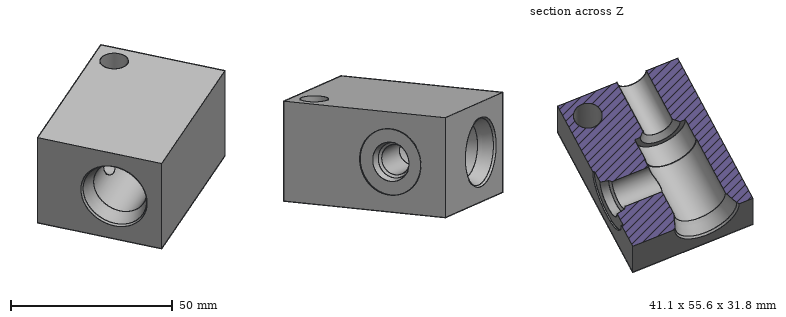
import cadquery as cq

width = 41.15
length = 55.6
height = 31.75
mid_height = height / 2

mount_diameter = 8.8
mount_inset = 7.1

cavity_x = 25.35
mouth_diameter = 21.95
lead_in_depth = 5.35
cavity_step = 26.7
cavity_floor = 34.45
upper_bore = 17.5
lower_bore = 17.1
seat_diameter = 13.55
outlet_diameter = 9.9
seat_depth = (seat_diameter - outlet_diameter) / 2
cavity_profile = [
    (0, mouth_diameter),
    (0.5, 21.4),
    (0.7, 21.0),
    (1.15, 20.7),
    (3.95, 18.6),
    (lead_in_depth, upper_bore),
    (cavity_step, upper_bore),
    (cavity_step, lower_bore),
    (cavity_floor, lower_bore),
    (cavity_floor, seat_diameter),
    (cavity_floor + seat_depth, outlet_diameter),
    (length, outlet_diameter),
]

port_y = 18.95
port_bore = 9.6
port_mouth = 12.45
port_taper_end = 11.2
port_taper_depth = 3.15
port_bore_depth = 3.95
spotface_diameter = 21.0
spotface_depth = 0.5
port_profile = [
    (0, spotface_diameter),
    (spotface_depth, spotface_diameter),
    (spotface_depth, port_mouth),
    (port_taper_depth, port_taper_end),
    (port_bore_depth, port_bore),
    (cavity_x, port_bore),
]


def bore_cutter(profile):
    """Revolve (depth, diameter) steps about the Y axis, with depth along +Y."""
    end_depth = profile[-1][0]
    wall = [(diameter / 2, depth) for depth, diameter in profile]
    outline = [(0, 0)] + wall + [(0, end_depth)]
    return cq.Workplane("XY").polyline(outline).close().revolve(360, (0, 0), (0, 1))


block = cq.Workplane("XY").box(width, length, height, centered=False)

main_cavity = bore_cutter(cavity_profile).translate((cavity_x, 0, mid_height))

side_port = bore_cutter(port_profile).rotate((0, 0, 0), (0, 0, 1), -90)
side_port = side_port.translate((0, port_y, mid_height))

mounting_hole = (
    cq.Workplane("XY")
    .center(mount_inset, length - mount_inset)
    .circle(mount_diameter / 2)
    .extrude(height)
)

result = block.cut(main_cavity).cut(side_port).cut(mounting_hole)